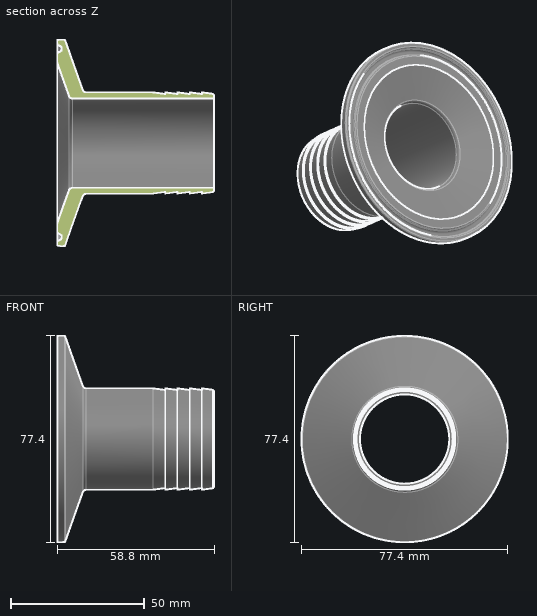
import cadquery as cq
import math

total_length = 58.75
flange_radius = 38.7
tube_radius = 19.0
bore_diameter = 33.35
bore_radius = bore_diameter / 2

rim_width = 2.95
face_edge_round = 0.3
back_edge_round = 0.5

cone_end_x = 9.9
cone_fillet = 1.2

mouth_radius = 29.95
mouth_depth = 4.7
mouth_fillet = 1.3

groove_center_radius = 35.3
groove_half_width = 1.85
groove_bottom_radius = 1.15
groove_edge_round = 0.6
groove_wall_angle = 20

barb_count = 5
barb_start_x = 35.8
barb_root_radius = 18.4
end_chamfer = 0.5
barb_pitch = (total_length - barb_start_x) / barb_count


def revolve_about_x(profile):
    return profile.close().revolve(360, (0, 0, 0), (1, 0, 0))


def ring_at(x, radius):
    """Select the circular edge of the given radius at position x on the axis."""
    tolerance = 0.04
    low = (x - tolerance, -radius - tolerance, -radius - tolerance)
    high = (x + tolerance, radius + tolerance, radius + tolerance)
    return cq.selectors.BoxSelector(low, high, boundingbox=True)


def outer_body():
    profile = (
        cq.Workplane("XY")
        .lineTo(0, flange_radius)
        .lineTo(rim_width, flange_radius)
        .lineTo(cone_end_x, tube_radius)
        .lineTo(barb_start_x, tube_radius)
    )
    for index in range(barb_count):
        barb_end_x = barb_start_x + (index + 1) * barb_pitch
        profile = profile.lineTo(barb_end_x, barb_root_radius)
        if index < barb_count - 1:
            profile = profile.lineTo(barb_end_x, tube_radius)
    body = revolve_about_x(profile.lineTo(total_length, 0))
    body = body.edges(ring_at(cone_end_x, tube_radius)).fillet(cone_fillet)
    body = body.edges(ring_at(0, flange_radius)).fillet(face_edge_round)
    body = body.edges(ring_at(rim_width, flange_radius)).fillet(back_edge_round)
    return body.edges(ring_at(total_length, barb_root_radius)).chamfer(end_chamfer)


def bore():
    profile = (
        cq.Workplane("XY")
        .lineTo(0, mouth_radius)
        .lineTo(mouth_depth, bore_radius)
        .lineTo(total_length, bore_radius)
        .lineTo(total_length, 0)
    )
    cutter = revolve_about_x(profile)
    return cutter.edges(ring_at(mouth_depth, bore_radius)).fillet(mouth_fillet)


def gasket_groove():
    """Ring cutter: rounded edges, steep straight walls and a round bottom tangent to the walls."""
    wall_slope = math.radians(groove_wall_angle)
    edge_turn = math.pi / 2 - wall_slope

    def edge_point(turn):
        x = groove_edge_round * (1 - math.cos(turn))
        offset = groove_half_width - groove_edge_round * math.sin(turn)
        return x, offset

    wall_top_x, wall_top_offset = edge_point(edge_turn)
    edge_middle_x, edge_middle_offset = edge_point(edge_turn / 2)
    wall_foot_offset = groove_bottom_radius * math.cos(wall_slope)
    wall_foot_x = wall_top_x + (wall_top_offset - wall_foot_offset) / math.tan(wall_slope)
    groove_depth = wall_foot_x + groove_bottom_radius * (1 - math.sin(wall_slope))

    def inner(x, offset):
        return x, groove_center_radius - offset

    def outer(x, offset):
        return x, groove_center_radius + offset

    profile = (
        cq.Workplane("XY")
        .moveTo(*inner(0, groove_half_width))
        .threePointArc(inner(edge_middle_x, edge_middle_offset), inner(wall_top_x, wall_top_offset))
        .lineTo(*inner(wall_foot_x, wall_foot_offset))
        .threePointArc((groove_depth, groove_center_radius), outer(wall_foot_x, wall_foot_offset))
        .lineTo(*outer(wall_top_x, wall_top_offset))
        .threePointArc(outer(edge_middle_x, edge_middle_offset), outer(0, groove_half_width))
    )
    return revolve_about_x(profile)


result = outer_body().cut(bore()).cut(gasket_groove())